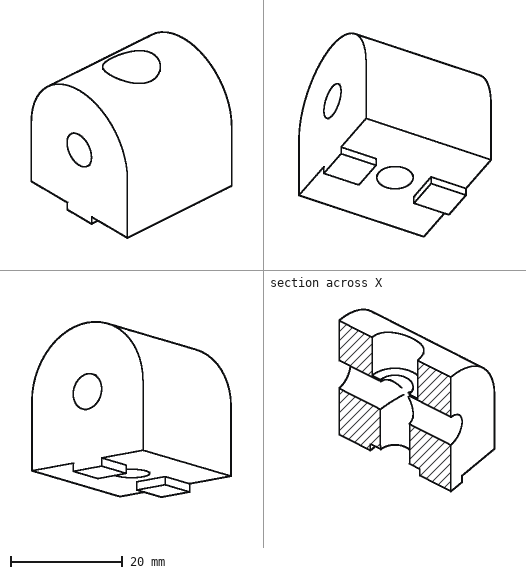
import cadquery as cq

width = 25.4
total_height = 26.92
bore_diameter = 6.5
counterbore_diameter = 10.35
counterbore_depth = 9.0
key_gap = 11.2

crown_radius = width / 2
underside_z = -crown_radius
key_height = total_height - width
key_length = (width - key_gap) / 2
key_offset = (key_gap + key_length) / 2
counterbore_floor_z = crown_radius - counterbore_depth


def make_body():
    """Block with a half-round crown, extruded along Y."""
    return (
        cq.Workplane("XZ")
        .moveTo(-crown_radius, underside_z)
        .lineTo(-crown_radius, 0)
        .threePointArc((0, crown_radius), (crown_radius, 0))
        .lineTo(crown_radius, underside_z)
        .close()
        .extrude(crown_radius, both=True)
    )


def make_keys():
    """Two locating keys under the body, one flush with each end face."""
    return (
        cq.Workplane("XY", origin=(0, 0, underside_z))
        .pushPoints([(0, -key_offset), (0, key_offset)])
        .rect(bore_diameter, key_length)
        .extrude(-key_height)
    )


def make_cylinder(plane, diameter):
    """Cutter long enough to pass right through the body."""
    return cq.Workplane(plane).circle(diameter / 2).extrude(width, both=True)


cross_bore = make_cylinder("XZ", bore_diameter)
vertical_bore = make_cylinder("XY", bore_diameter)
counterbore = (
    cq.Workplane("XY", origin=(0, 0, counterbore_floor_z))
    .circle(counterbore_diameter / 2)
    .extrude(width)
)

result = make_body().union(make_keys()).cut(cross_bore).cut(vertical_bore).cut(counterbore)